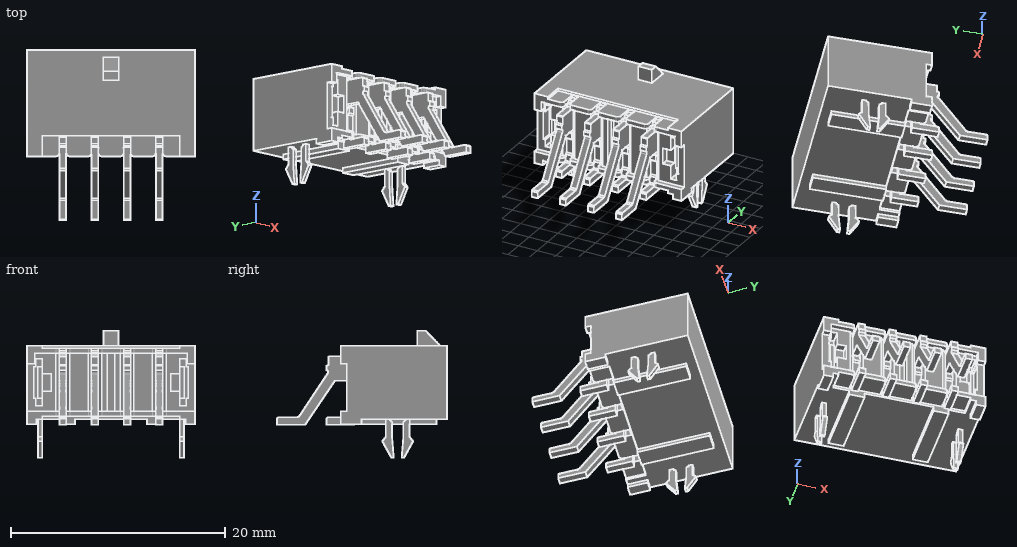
import cadquery as cq


HOUSING_WIDTH = 15.7
HOUSING_DEPTH = 9.94
HOUSING_TOP = 7.4
FLOOR_Z = 0.53
HALF_WIDTH = HOUSING_WIDTH / 2

FOOT_BOTTOM = 0.06
FRONT_FOOT_WIDTH = 0.91
FRONT_FOOT_DEPTH = 1.95
REAR_FOOT_INNER_X = 3.35
REAR_FOOT_OUTER_X = 4.82
REAR_FOOT_END_Y = 8.95

STEP_HALF_WIDTH = 6.4
STEP_DEPTH = 1.93
TOP_PLATE_Z = 7.16
BOTTOM_PLATE_Z = 0.8

RECESS_DEPTH = 0.55
RECESS_FLOOR_Z = 1.28
RECESS_CEILING_Z = 6.67
RECESS_HALF_WIDTH = 7.12
SIDE_OPENING_TOP_Z = 5.7

POCKET_BACK_Y = 1.28
GROOVE_WIDTH = 0.67

PIN_COUNT = 4
PIN_PITCH = 3.0
PIN_WIDTH = 0.64
PIN_X = [(i - (PIN_COUNT - 1) / 2) * PIN_PITCH for i in range(PIN_COUNT)]
SLOT_BACK_Y = 1.8
SLOT_LEAD_IN = 0.32
TAIL_HEIGHT = 0.72
BUMP_Y = -1.33
TIP_CHAMFER = 0.12

UPPER_TIP_Y = -5.96
UPPER_TOP_Z = 6.41
UPPER_BOTTOM_Z = 4.12
UPPER_FRONT_Y = -1.14
UPPER_EDGE_CHAMFER = 0.06
SHOULDER_START = (1.19, 6.92)
SHOULDER_UPPER = (0.99, 6.74)
SHOULDER_LOWER = (0.99, 6.64)
SHOULDER_END_Y = 0.86
BUMP_START_Z = 5.62
BUMP_TOP_Z = 5.52
BUMP_BOTTOM_Z = 5.09
NECK_MIDDLE = (-1.18, 4.95)
NECK_END = (-1.24, 4.79)
SLOPE_UNDERSIDE_TOP_Y = -0.53
SLOPE_UNDERSIDE_END_Y = -3.31
SLOPE_TOP_END = (-3.87, 0.82)
TAIL_TOP_START_Y = -4.07

LOWER_FACE_Y = 0.56
LOWER_WAIST_Y = 0.73
LOWER_LEG_BACK_Y = 1.25
LOWER_TOP_Z = 3.6
LOWER_CREST_Z = 3.84
LOWER_ARM_Z = 2.9
CREST_RAMP_START_Y = 0.86
CREST_RAMP_END_Y = 0.68
WAIST_BEVEL = 0.15
CREST_FACE_BOTTOM_Z = 3.25
LOWER_FACE_TOP_Z = 1.5
LEG_TAIL_BEVEL = 0.12

CLIP_INNER_X = STEP_HALF_WIDTH
CLIP_THICKNESS = 0.42
CLIP_X = CLIP_INNER_X + CLIP_THICKNESS / 2
CLIP_CENTER_Y = 5.32
CLIP_BOTTOM = -3.06
CLIP_HALF_GAP = 0.51
CLIP_GAP_FLARE = 0.73
CLIP_HALF_SPAN = 1.12
CLIP_BARB_REACH = 1.45
CLIP_TIP_INNER = 0.36
CLIP_TIP_OUTER = 0.60
CLIP_FLARE_TOP_Z = 0.45
CLIP_FLARE_BOTTOM_Z = 0.25
CLIP_TAPER_Z = -1.2
CLIP_SHANK_Z = -1.11
CLIP_BARB_Z = -1.52
CLIP_SEAT_Y = 1.5
CLIP_SEAT_BACK_Y = 1.7
CLIP_SEAT_Z = (2.48, 5.45)
CLIP_SEAT_OUTER_X = 7.19
CLIP_SLOT_Z = (1.77, 6.18)
CLIP_SLOT_OUTER_X = 7.0
CLIP_POCKET_Z = (3.15, 4.78)
CLIP_POCKET_INNER_X = 5.55

LATCH_WIDTH = 1.42
LATCH_HEIGHT = 1.4
LATCH_FRONT_Y = 7.13
LATCH_CREST_Y = 7.93
LATCH_END_Y = 9.28


def box(x0, x1, y0, y1, z0, z1):
    """Box between two corners."""
    return cq.Workplane("XY").box(x1 - x0, y1 - y0, z1 - z0, centered=False).translate((x0, y0, z0))


def box_pair(x0, x1, y0, y1, z0, z1):
    """Box on the +X side together with its mirror image."""
    right = box(x0, x1, y0, y1, z0, z1)
    return right.union(right.mirror("YZ"))


def extrude_yz(profile, width, x_center):
    """Extrude a closed YZ profile to a width centred on x_center."""
    return profile.extrude(width / 2, both=True).translate((x_center, 0, 0))


def housing_block():
    """Solid block standing on four feet."""
    body = box(-HALF_WIDTH, HALF_WIDTH, 0, HOUSING_DEPTH, FLOOR_Z, HOUSING_TOP)
    front_feet = box_pair(HALF_WIDTH - FRONT_FOOT_WIDTH, HALF_WIDTH,
                          0, FRONT_FOOT_DEPTH, FOOT_BOTTOM, FLOOR_Z)
    rear_feet = box_pair(REAR_FOOT_INNER_X, REAR_FOOT_OUTER_X,
                         STEP_DEPTH, REAR_FOOT_END_Y, FOOT_BOTTOM, FLOOR_Z)
    return body.union(front_feet).union(rear_feet)


def plate_steps():
    """Cuts that thin the top and bottom plates."""
    top = box(-STEP_HALF_WIDTH, STEP_HALF_WIDTH, 0, STEP_DEPTH, TOP_PLATE_Z, HOUSING_TOP)
    bottom = box(-STEP_HALF_WIDTH, STEP_HALF_WIDTH, 0, STEP_DEPTH, FLOOR_Z, BOTTOM_PLATE_Z)
    return top.union(bottom)


def terminal_recess():
    """Recess between the plates, open at both sides, with its middle groove."""
    middle = box(-RECESS_HALF_WIDTH, RECESS_HALF_WIDTH, 0, RECESS_DEPTH,
                 RECESS_FLOOR_Z, RECESS_CEILING_Z)
    side_opening = box(-HALF_WIDTH, HALF_WIDTH, 0, RECESS_DEPTH,
                       RECESS_FLOOR_Z, SIDE_OPENING_TOP_Z)
    groove = box(-GROOVE_WIDTH / 2, GROOVE_WIDTH / 2, 0, POCKET_BACK_Y,
                 RECESS_FLOOR_Z, RECESS_CEILING_Z)
    return middle.union(side_opening).union(groove)


def terminal_slot(x):
    """Slot through both plates: rounded mouth in the plates, bevelled mouth in the recess wall."""
    half = PIN_WIDTH / 2
    mouth = half + SLOT_LEAD_IN
    round_mid = SLOT_LEAD_IN * (1 - 0.5 ** 0.5)
    slot = box(-half, half, 0, SLOT_BACK_Y, FLOOR_Z, HOUSING_TOP)
    rounded_mouth = (
        cq.Workplane("XY").workplane(offset=FLOOR_Z)
        .moveTo(-mouth, 0)
        .threePointArc((-half - round_mid, round_mid), (-half, SLOT_LEAD_IN))
        .lineTo(half, SLOT_LEAD_IN)
        .threePointArc((half + round_mid, round_mid), (mouth, 0))
        .close().extrude(HOUSING_TOP - FLOOR_Z)
    )
    bevelled_mouth = (
        cq.Workplane("XY").workplane(offset=RECESS_FLOOR_Z)
        .polyline([(-mouth, RECESS_DEPTH), (mouth, RECESS_DEPTH),
                   (half, RECESS_DEPTH + SLOT_LEAD_IN), (-half, RECESS_DEPTH + SLOT_LEAD_IN)])
        .close().extrude(RECESS_CEILING_Z - RECESS_FLOOR_Z)
    )
    return slot.union(rounded_mouth).union(bevelled_mouth).translate((x, 0, 0))


def upper_terminal(x):
    """Bar leaving the slot high up, sloping down to a solder tail on the board."""
    profile = (
        cq.Workplane("YZ")
        .moveTo(SLOT_BACK_Y, UPPER_BOTTOM_Z)
        .lineTo(SLOT_BACK_Y, SHOULDER_START[1])
        .lineTo(*SHOULDER_START)
        .lineTo(*SHOULDER_UPPER)
        .lineTo(*SHOULDER_LOWER)
        .lineTo(SHOULDER_END_Y, UPPER_TOP_Z)
        .lineTo(UPPER_FRONT_Y + UPPER_EDGE_CHAMFER, UPPER_TOP_Z)
        .lineTo(UPPER_FRONT_Y, UPPER_TOP_Z - UPPER_EDGE_CHAMFER)
        .lineTo(UPPER_FRONT_Y, BUMP_START_Z)
        .lineTo(BUMP_Y, BUMP_TOP_Z)
        .lineTo(BUMP_Y, BUMP_BOTTOM_Z)
        .threePointArc(NECK_MIDDLE, NECK_END)
        .lineTo(*SLOPE_TOP_END)
        .lineTo(TAIL_TOP_START_Y, TAIL_HEIGHT)
        .lineTo(UPPER_TIP_Y + TIP_CHAMFER, TAIL_HEIGHT)
        .lineTo(UPPER_TIP_Y, TAIL_HEIGHT - TIP_CHAMFER)
        .lineTo(UPPER_TIP_Y, 0)
        .lineTo(SLOPE_UNDERSIDE_END_Y, 0)
        .lineTo(SLOPE_UNDERSIDE_TOP_Y, UPPER_BOTTOM_Z)
        .close()
    )
    return extrude_yz(profile, PIN_WIDTH, x)


def lower_terminal(x):
    """Arm from the slot back, a waisted leg down the slot, and a short solder tail."""
    profile = (
        cq.Workplane("YZ")
        .moveTo(SLOT_BACK_Y, LOWER_ARM_Z)
        .lineTo(SLOT_BACK_Y, LOWER_TOP_Z)
        .lineTo(CREST_RAMP_START_Y, LOWER_TOP_Z)
        .lineTo(CREST_RAMP_END_Y, LOWER_CREST_Z)
        .lineTo(LOWER_FACE_Y, LOWER_CREST_Z)
        .lineTo(LOWER_FACE_Y, CREST_FACE_BOTTOM_Z)
        .lineTo(LOWER_WAIST_Y, CREST_FACE_BOTTOM_Z - WAIST_BEVEL)
        .lineTo(LOWER_WAIST_Y, LOWER_FACE_TOP_Z + WAIST_BEVEL)
        .lineTo(LOWER_FACE_Y, LOWER_FACE_TOP_Z)
        .lineTo(LOWER_FACE_Y, TAIL_HEIGHT + LEG_TAIL_BEVEL)
        .lineTo(LOWER_FACE_Y - LEG_TAIL_BEVEL, TAIL_HEIGHT)
        .lineTo(BUMP_Y + TIP_CHAMFER, TAIL_HEIGHT)
        .lineTo(BUMP_Y, TAIL_HEIGHT - TIP_CHAMFER)
        .lineTo(BUMP_Y, 0)
        .lineTo(LOWER_LEG_BACK_Y, 0)
        .lineTo(LOWER_LEG_BACK_Y, LOWER_ARM_Z)
        .close()
    )
    return extrude_yz(profile, PIN_WIDTH, x)


def clip_openings():
    """Slot, wider seat and inner pocket at each end of the recess wall."""
    slot = box_pair(STEP_HALF_WIDTH, CLIP_SLOT_OUTER_X, RECESS_DEPTH, CLIP_SEAT_BACK_Y, *CLIP_SLOT_Z)
    seat = box_pair(STEP_HALF_WIDTH, CLIP_SEAT_OUTER_X, RECESS_DEPTH, CLIP_SEAT_BACK_Y, *CLIP_SEAT_Z)
    pocket = box_pair(CLIP_POCKET_INNER_X, STEP_HALF_WIDTH, RECESS_DEPTH, POCKET_BACK_Y, *CLIP_POCKET_Z)
    return slot.union(seat).union(pocket)


def clip_plates():
    """Clip ends standing in the seats."""
    return box_pair(CLIP_INNER_X, CLIP_INNER_X + CLIP_THICKNESS, CLIP_SEAT_Y, CLIP_SEAT_BACK_Y, *CLIP_SEAT_Z)


def clip_leg(side, x):
    """One barbed leg; side is +1 or -1 along Y from the clip centre."""
    offsets = [
        (CLIP_GAP_FLARE, FLOOR_Z), (CLIP_GAP_FLARE, CLIP_FLARE_TOP_Z),
        (CLIP_HALF_GAP, CLIP_FLARE_BOTTOM_Z), (CLIP_HALF_GAP, CLIP_TAPER_Z),
        (CLIP_TIP_INNER, CLIP_BOTTOM), (CLIP_TIP_OUTER, CLIP_BOTTOM),
        (CLIP_BARB_REACH, CLIP_BARB_Z), (CLIP_HALF_SPAN, CLIP_SHANK_Z), (CLIP_HALF_SPAN, FLOOR_Z),
    ]
    points = [(CLIP_CENTER_Y + side * offset, z) for offset, z in offsets]
    return extrude_yz(cq.Workplane("YZ").polyline(points).close(), CLIP_THICKNESS, x)


def latch():
    """Ramp rising toward the terminal side."""
    crest_z = HOUSING_TOP + LATCH_HEIGHT
    profile = cq.Workplane("YZ").polyline([
        (LATCH_FRONT_Y, HOUSING_TOP), (LATCH_FRONT_Y, crest_z),
        (LATCH_CREST_Y, crest_z), (LATCH_END_Y, HOUSING_TOP),
    ]).close()
    return extrude_yz(profile, LATCH_WIDTH, 0)


result = housing_block().cut(plate_steps()).cut(terminal_recess()).cut(clip_openings())
for pin_x in PIN_X:
    result = result.cut(terminal_slot(pin_x))
for pin_x in PIN_X:
    result = result.union(upper_terminal(pin_x)).union(lower_terminal(pin_x))

result = result.union(clip_plates())
for leg_x in (-CLIP_X, CLIP_X):
    for leg_side in (-1, 1):
        result = result.union(clip_leg(leg_side, leg_x))
result = result.union(latch())